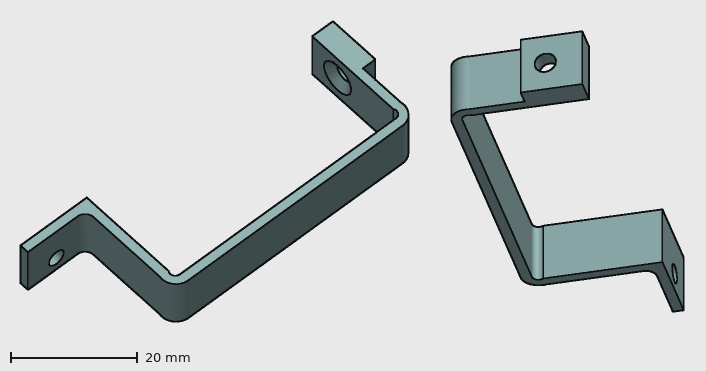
import cadquery as cq
import math

length = 66.0
depth = 22.8
width = 10.0
thickness = 1.8

block_left = 0.2
block_length = 10.0
block_thickness = 4.4

arm_top = length - block_thickness + thickness
leg_length = 12.3
lower_arm_top = leg_length + thickness

outer_radius = 3.0
inner_radius = 1.05
bend_overrun = 0.6
leg_fillet = 1.8

leg_hole_diameter = 3.1
leg_hole_from_end = 6.0
leg_hole_height = 3.05
screw_diameter = 3.4
screw_head_diameter = 6.4
screw_head_angle = 90.0
screw_from_block_end = 6.0


def box(x_min, x_max, y_min, y_max):
    """Full-width block between the given X and Y limits."""
    return cq.Workplane("XY").box(
        x_max - x_min, y_max - y_min, width, centered=False
    ).translate((x_min, y_min, 0))


def bent_slab(x_min, x_max, y_min, y_max, radius):
    """Full-width slab whose two +X corners are rounded by the bend arcs."""
    center_x = x_max - radius
    arc_start_x = center_x - bend_overrun
    rise = math.sqrt(radius**2 - bend_overrun**2)
    diagonal = radius * math.sqrt(0.5)
    low_center = y_min + rise
    high_center = y_max - rise
    return (
        cq.Workplane("XY")
        .moveTo(x_min, y_min)
        .lineTo(arc_start_x, y_min)
        .threePointArc((center_x + diagonal, low_center - diagonal), (x_max, low_center))
        .lineTo(x_max, high_center)
        .threePointArc((center_x + diagonal, high_center + diagonal), (arc_start_x, y_max))
        .lineTo(x_min, y_max)
        .close()
        .extrude(width)
    )


def make_strip():
    """U-shaped bracket with rounded bends and a downturned leg."""
    web_inner = depth - thickness
    outside = bent_slab(0, depth, leg_length, arm_top, outer_radius)
    inside = bent_slab(-depth, web_inner, lower_arm_top, arm_top - thickness, inner_radius)
    end_trim = box(-depth, block_left, lower_arm_top, length)
    leg = box(0, thickness, 0, lower_arm_top)
    strip = outside.cut(inside).cut(end_trim).union(leg)
    corner = cq.selectors.NearestToPointSelector((thickness, leg_length, width / 2))
    return strip.edges("|Z").edges(corner).fillet(leg_fillet)


def make_block():
    """Thickened end of the upper arm."""
    return box(block_left, block_left + block_length, length - block_thickness, length)


def drill_leg(body):
    """Plain hole through the leg along X."""
    drill = (
        cq.Workplane("YZ")
        .center(leg_hole_from_end, leg_hole_height)
        .circle(leg_hole_diameter / 2)
        .extrude(thickness)
    )
    return body.cut(drill)


def drill_block(body):
    """Through hole along Y, countersunk on the inner face of the block."""
    inner_face = cq.Workplane(
        cq.Plane(
            origin=(block_left + screw_from_block_end, length - block_thickness, width / 2),
            xDir=(1, 0, 0),
            normal=(0, -1, 0),
        )
    )
    return body.copyWorkplane(inner_face).cskHole(
        screw_diameter, screw_head_diameter, screw_head_angle, depth=block_thickness
    )


result = drill_block(drill_leg(make_strip().union(make_block())))